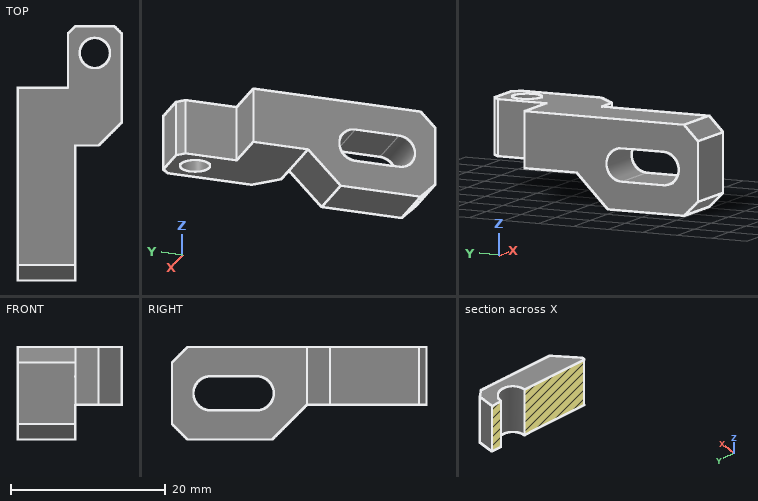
import cadquery as cq

width = 13.5
length = 33.0
height = 12.0

arm_width = 7.5
arm_end_y = 25.0
tab_left_x = 6.5
tab_start_y = 17.5
tab_front_chamfer = 3.0
tab_rear_chamfer = 1.0

rear_thickness = 7.52
step_z = height - rear_thickness
front_chamfer = 2.0

hole_diameter = 3.9
hole_x = (tab_left_x + width) / 2
hole_y = 29.5
slot_width = 4.4
slot_length = 10.4
slot_y = 8.0
slot_z = height / 2


def plan_body():
    """Stepped plan outline, extruded to the full height."""
    return (
        cq.Workplane("XY")
        .moveTo(0, 0)
        .lineTo(arm_width, 0)
        .lineTo(arm_width, tab_start_y)
        .lineTo(width - tab_front_chamfer, tab_start_y)
        .lineTo(width, tab_start_y + tab_front_chamfer)
        .lineTo(width, length - tab_rear_chamfer)
        .lineTo(width - tab_rear_chamfer, length)
        .lineTo(tab_left_x + tab_rear_chamfer, length)
        .lineTo(tab_left_x, length - tab_rear_chamfer)
        .lineTo(tab_left_x, arm_end_y)
        .lineTo(0, arm_end_y)
        .close()
        .extrude(height)
    )


def side_body():
    """Side outline with a 45 degree underside slope, extruded to the full width."""
    return (
        cq.Workplane("YZ")
        .moveTo(front_chamfer, 0)
        .lineTo(tab_start_y - step_z, 0)
        .lineTo(tab_start_y, step_z)
        .lineTo(length, step_z)
        .lineTo(length, height)
        .lineTo(front_chamfer, height)
        .lineTo(0, height - front_chamfer)
        .lineTo(0, front_chamfer)
        .close()
        .extrude(width)
    )


def tab_hole():
    """Vertical through hole in the tab."""
    return cq.Workplane("XY").center(hole_x, hole_y).circle(hole_diameter / 2).extrude(height)


def arm_slot():
    """Slot through the arm along X, elongated along Y."""
    return cq.Workplane("YZ").center(slot_y, slot_z).slot2D(slot_length, slot_width).extrude(arm_width)


result = plan_body().intersect(side_body()).cut(tab_hole()).cut(arm_slot())